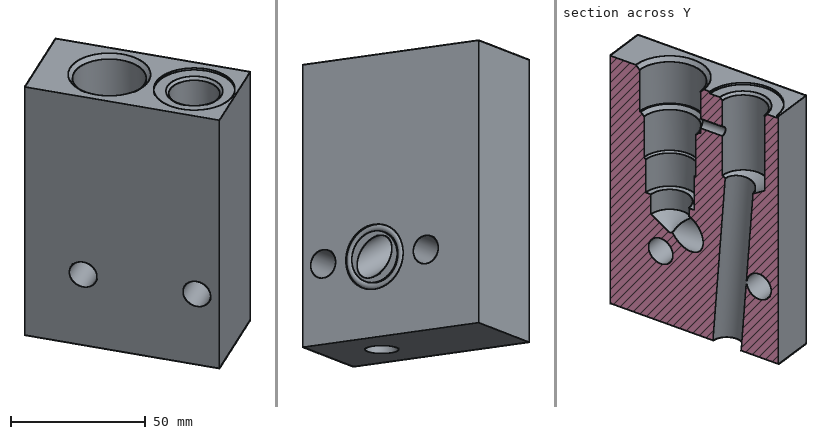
import cadquery as cq
import math

BLOCK_WIDTH = 76.2
BLOCK_DEPTH = 36.6
BLOCK_HEIGHT = 108.0
MID_Y = BLOCK_DEPTH / 2
DRILL_POINT_ANGLE = 118.0

MOUNT_HOLE_RADIUS = 5.4
MOUNT_HOLE_SPACING = 44.5
MOUNT_HOLE_X = 22.9
MOUNT_HOLE_Z = 30.8

CAVITY_X = 27.1
CAVITY_MOUTH_RADIUS = 15.3
CAVITY_THREAD_RADIUS = 13.7
CAVITY_THREAD_DEPTH = 19.6
CAVITY_LEDGE_RADIUS = 13.2
CAVITY_SEAT_RADIUS = 11.7
CAVITY_SEAT_DEPTH = 38.9
CAVITY_NOSE_RADIUS = 10.9
CAVITY_NOSE_DEPTH = 54.0
CAVITY_DRILL_RADIUS = 8.5
CAVITY_DRILL_DEPTH = 62.6

PORT_X = 60.3
SPOTFACE_RADIUS = 15.1
SPOTFACE_DEPTH = 0.9
PORT_MOUTH_RADIUS = 10.6
PORT_RADIUS = 9.5
PORT_DEPTH = 34.5

SLANT_RADIUS = 6.3
SLANT_TOP_OFFSET = 1.8
SLANT_BOTTOM_OFFSET = 7.5

CROSS_RADIUS = 1.9
CROSS_DEPTH = 15.4

BACK_PORT_X = MOUNT_HOLE_X + MOUNT_HOLE_SPACING / 2
BACK_PORT_Z = MOUNT_HOLE_Z

FEED_RADIUS = 6.5
FEED_END_X = 32.7
FEED_END_Y = 15.5
FEED_END_Z = 45.3
FEED_OVERRUN = 2 * FEED_RADIUS

RING_RADIUS = 11.1
RING_SECTION_RADIUS = 1.3
RING_PROTRUSION = 0.4
RING_CENTER_Y = BLOCK_DEPTH + RING_PROTRUSION - RING_SECTION_RADIUS
GROOVE_DEPTH = 2 * RING_SECTION_RADIUS - RING_PROTRUSION


def drill_point_height(radius):
    return radius / math.tan(math.radians(DRILL_POINT_ANGLE / 2))


def turned_bore(center_x, profile):
    """Revolve (radius, depth) points, from mouth to tip, about a vertical axis below the top face."""
    outline = [(0, 0)] + [(radius, -depth) for radius, depth in profile]
    bore = cq.Workplane("XZ").polyline(outline).close().revolve(360, (0, 0, 0), (0, 1, 0))
    return bore.translate((center_x, MID_Y, BLOCK_HEIGHT))


def bore_between(start, end, radius):
    """Cylinder whose axis runs between two points."""
    axis = cq.Vector(*end) - cq.Vector(*start)
    return cq.Workplane(cq.Solid.makeCylinder(radius, axis.Length, cq.Vector(*start), axis))


def cavity():
    chamfer = CAVITY_MOUTH_RADIUS - CAVITY_THREAD_RADIUS
    seat_taper = CAVITY_LEDGE_RADIUS - CAVITY_SEAT_RADIUS
    nose_taper = CAVITY_SEAT_RADIUS - CAVITY_NOSE_RADIUS
    return turned_bore(CAVITY_X, [
        (CAVITY_MOUTH_RADIUS, 0),
        (CAVITY_THREAD_RADIUS, chamfer),
        (CAVITY_THREAD_RADIUS, CAVITY_THREAD_DEPTH),
        (CAVITY_LEDGE_RADIUS, CAVITY_THREAD_DEPTH),
        (CAVITY_SEAT_RADIUS, CAVITY_THREAD_DEPTH + seat_taper),
        (CAVITY_SEAT_RADIUS, CAVITY_SEAT_DEPTH),
        (CAVITY_NOSE_RADIUS, CAVITY_SEAT_DEPTH + nose_taper),
        (CAVITY_NOSE_RADIUS, CAVITY_NOSE_DEPTH),
        (CAVITY_DRILL_RADIUS, CAVITY_NOSE_DEPTH),
        (CAVITY_DRILL_RADIUS, CAVITY_DRILL_DEPTH),
        (0, CAVITY_DRILL_DEPTH + drill_point_height(CAVITY_DRILL_RADIUS)),
    ])


def threaded_port():
    chamfer = PORT_MOUTH_RADIUS - PORT_RADIUS
    return turned_bore(PORT_X, [
        (SPOTFACE_RADIUS, 0),
        (SPOTFACE_RADIUS, SPOTFACE_DEPTH),
        (PORT_MOUTH_RADIUS, SPOTFACE_DEPTH),
        (PORT_RADIUS, SPOTFACE_DEPTH + chamfer),
        (PORT_RADIUS, PORT_DEPTH),
        (0, PORT_DEPTH + drill_point_height(PORT_RADIUS)),
    ])


def slanted_bore():
    """Start at the full-diameter floor of the port and run past the bottom face by one radius."""
    start_z = BLOCK_HEIGHT - PORT_DEPTH
    slope = (SLANT_BOTTOM_OFFSET - SLANT_TOP_OFFSET) / start_z
    end_z = -SLANT_RADIUS
    end_x = PORT_X - SLANT_BOTTOM_OFFSET + slope * end_z
    return bore_between((PORT_X - SLANT_TOP_OFFSET, MID_Y, start_z), (end_x, MID_Y, end_z), SLANT_RADIUS)


def cross_bore():
    z = BLOCK_HEIGHT - CROSS_DEPTH
    return bore_between((CAVITY_X, MID_Y, z), (PORT_X, MID_Y, z), CROSS_RADIUS)


def feed_bore():
    """Oblique bore from the back face, with a ball end breaking into the drill point of the cavity."""
    mouth = cq.Vector(BACK_PORT_X, BLOCK_DEPTH, BACK_PORT_Z)
    end = cq.Vector(FEED_END_X, FEED_END_Y, FEED_END_Z)
    start = mouth + (mouth - end).normalized() * FEED_OVERRUN
    shank = bore_between(start.toTuple(), end.toTuple(), FEED_RADIUS)
    ball_end = cq.Workplane("XY").sphere(FEED_RADIUS).translate(end)
    return shank.union(ball_end)


def ring_groove():
    groove = (
        cq.Workplane("XZ")
        .circle(RING_RADIUS + RING_SECTION_RADIUS)
        .circle(RING_RADIUS - RING_SECTION_RADIUS)
        .extrude(GROOVE_DEPTH)
    )
    return groove.translate((BACK_PORT_X, BLOCK_DEPTH, BACK_PORT_Z))


def mounting_hole(x):
    return bore_between((x, 0, MOUNT_HOLE_Z), (x, BLOCK_DEPTH, MOUNT_HOLE_Z), MOUNT_HOLE_RADIUS)


def make_block():
    block = cq.Workplane("XY").box(BLOCK_WIDTH, BLOCK_DEPTH, BLOCK_HEIGHT, centered=False)
    for x in (MOUNT_HOLE_X, MOUNT_HOLE_X + MOUNT_HOLE_SPACING):
        block = block.cut(mounting_hole(x))
    for bore in (cavity(), threaded_port(), slanted_bore(), cross_bore(), feed_bore(), ring_groove()):
        block = block.cut(bore)
    return block.solids()


def make_o_ring():
    center = cq.Vector(BACK_PORT_X, RING_CENTER_Y, BACK_PORT_Z)
    return cq.Workplane(cq.Solid.makeTorus(RING_RADIUS, RING_SECTION_RADIUS, center, cq.Vector(0, 1, 0)))


block = make_block()
o_ring = make_o_ring()
result = cq.Compound.makeCompound([block.val(), o_ring.val()])